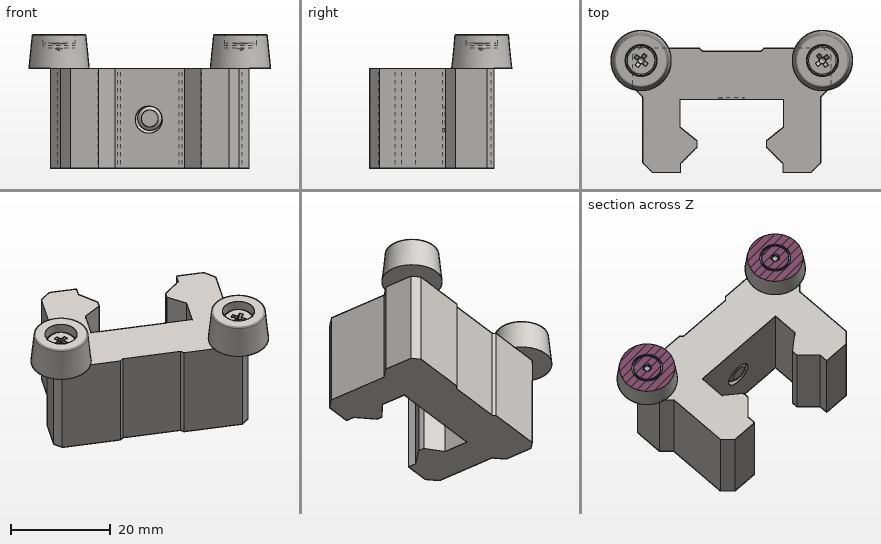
import cadquery as cq

body_height = 20.05
back_y = 25.0
bridge_half_width = 19.95
leg_half_width = 17.9
shoulder_y = 15.25
back_corner_chamfer = 1.45
foot_chamfer = 2.05

relief_half_width = 6.5
relief_depth = 0.6

slot_half_width = 10.4
slot_end_y = 14.65
slot_mouth_half_width = 10.25
tooth_half_gap = 6.95
tooth_root_y = 9.15
tooth_tip_back_y = 6.4
tooth_tip_front_y = 5.15

knob_spacing = 36.38
knob_radius = 6.05
knob_top_radius = 5.4
knob_height = 6.8
knob_y = 22.5
knob_edge_radius = 0.25

bore_radius = 3.2
bore_depth = 2.2
seat_radius = 3.05
seat_depth = 2.7
head_radius = 2.75
head_drop = 1.65

cross_reach = 1.45
cross_root = 0.5
cross_arm_width = 0.8
cross_depth = 1.2
cross_core_radius = 0.65
cross_tip_depth = 1.55
cross_angle = 37

set_screw_radius = 2.42
set_screw_tip_radius = 1.7
set_screw_tip_length = 0.5
set_screw_z = body_height / 2
flare_radius = 2.7
flare_shift_x = -0.2
flare_shift_z = -0.25


def make_body():
    shoulder_run = bridge_half_width - leg_half_width
    tooth_run = slot_mouth_half_width - tooth_half_gap
    half_outline = [
        (0, back_y - relief_depth),
        (relief_half_width - relief_depth, back_y - relief_depth),
        (relief_half_width, back_y),
        (bridge_half_width - back_corner_chamfer, back_y),
        (bridge_half_width, back_y - back_corner_chamfer),
        (bridge_half_width, shoulder_y + shoulder_run),
        (leg_half_width, shoulder_y),
        (leg_half_width, foot_chamfer),
        (leg_half_width - foot_chamfer, 0),
        (slot_mouth_half_width, 0),
        (slot_mouth_half_width, tooth_tip_front_y - tooth_run),
        (tooth_half_gap, tooth_tip_front_y),
        (tooth_half_gap, tooth_tip_back_y),
        (slot_half_width, tooth_root_y),
        (slot_half_width, slot_end_y),
        (0, slot_end_y),
    ]
    half = cq.Workplane("XY").polyline(half_outline).close().extrude(body_height)
    return half.union(half.mirror("YZ")).clean()


def make_cross_recess():
    """Cross-shaped cutter with its open face at Z = 0, pointing down."""
    core_outline = [
        (0, 0),
        (cross_core_radius, 0),
        (cross_core_radius, -cross_depth),
        (0, -cross_tip_depth),
    ]
    recess = cq.Workplane("XZ").polyline(core_outline).close().revolve(360, (0, 0), (0, 1))
    bar_outline = [
        (-cross_reach, 0),
        (cross_reach, 0),
        (cross_root, -cross_depth),
        (-cross_root, -cross_depth),
    ]
    bar = cq.Workplane("XZ").polyline(bar_outline).close().extrude(cross_arm_width / 2, both=True)
    for turn in (0, 90):
        recess = recess.union(bar.rotate((0, 0, 0), (0, 0, 1), turn + cross_angle))
    return recess


def make_knob():
    """Knob with its screw, standing on Z = 0 and centred on the Z axis."""
    step_z = knob_height - bore_depth
    seat_z = knob_height - seat_depth
    head_z = knob_height - head_drop
    section = [
        (0, 0),
        (knob_radius, 0),
        (knob_top_radius, knob_height),
        (bore_radius, knob_height),
        (bore_radius, step_z),
        (seat_radius, step_z),
        (seat_radius, seat_z),
        (head_radius, seat_z),
        (head_radius, head_z),
        (0, head_z),
    ]
    knob = cq.Workplane("XZ").polyline(section).close().revolve(360, (0, 0), (0, 1))
    outer_rim = cq.selectors.RadiusNthSelector(-1)
    knob = knob.faces(">Z").edges(outer_rim).fillet(knob_edge_radius)
    return knob.cut(make_cross_recess().translate((0, 0, head_z)))


def make_cone(start_center, start_radius, end_center, end_radius):
    """Frustum, straight or oblique, between two circles facing the slot."""
    toward_slot = cq.Vector(0, -1, 0)
    start = cq.Wire.makeCircle(start_radius, cq.Vector(*start_center), toward_slot)
    end = cq.Wire.makeCircle(end_radius, cq.Vector(*end_center), toward_slot)
    return cq.Workplane(cq.Solid.makeLoft([start, end], True))


hole_bottom = (0, slot_end_y + set_screw_tip_length, set_screw_z)
tip_center = (0, slot_end_y, set_screw_z)
flare_center = (flare_shift_x, slot_end_y, set_screw_z + flare_shift_z)

result = make_body()
result = result.cut(make_cone(hole_bottom, set_screw_radius, flare_center, flare_radius))
result = result.union(make_cone(hole_bottom, set_screw_radius, tip_center, set_screw_tip_radius))

right_knob = make_knob().translate((knob_spacing / 2, knob_y, body_height))
result = result.union(right_knob).union(right_knob.mirror("YZ"))